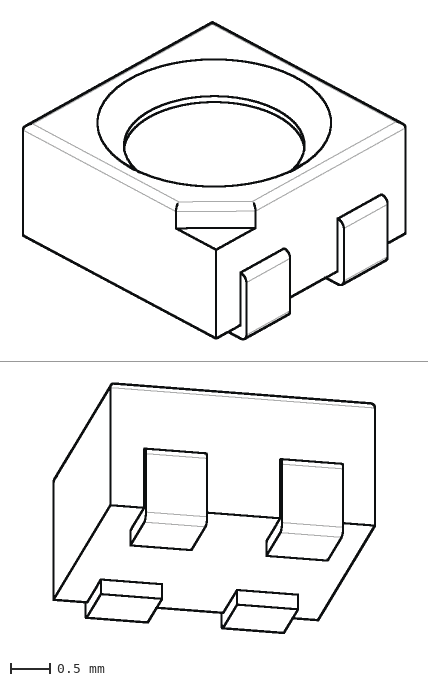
import cadquery as cq


overall_length = 3.68
overall_height = 1.9

body_side = 3.46
body_standoff = 0.2
body_edge_radius = 0.09

marker_leg = 0.72
marker_depth = 0.345

cup_top_diameter = 2.99
cup_floor_diameter = 2.31
cup_cone_depth = (cup_top_diameter - cup_floor_diameter) / 2
cup_wall_depth = 0.09

lead_width = 0.8
lead_height = 1.0
lead_foot_length = 0.95
lead_pitch = 1.78
lead_edge_radius = 0.1
lead_protrusion = (overall_length - body_side) / 2


def make_body():
    """Square block with the corner marker step and rounded top edges."""
    half_side = body_side / 2
    block = (
        cq.Workplane("XY")
        .workplane(offset=body_standoff)
        .rect(body_side, body_side)
        .extrude(overall_height - body_standoff)
    )
    marker_step = (
        cq.Workplane("XY")
        .workplane(offset=overall_height - marker_depth)
        .moveTo(half_side - marker_leg, -half_side)
        .lineTo(half_side, -half_side)
        .lineTo(half_side, -half_side + marker_leg)
        .close()
        .extrude(marker_depth)
    )
    return block.cut(marker_step).faces(">Z").edges().fillet(body_edge_radius)


def make_cup():
    """Solid of revolution that hollows out the reflector cup."""
    top_radius = cup_top_diameter / 2
    floor_radius = cup_floor_diameter / 2
    cone_bottom = overall_height - cup_cone_depth
    floor_height = cone_bottom - cup_wall_depth
    return (
        cq.Workplane("XZ")
        .moveTo(0, floor_height)
        .lineTo(floor_radius, floor_height)
        .lineTo(floor_radius, cone_bottom)
        .lineTo(top_radius, overall_height)
        .lineTo(0, overall_height)
        .close()
        .revolve(360, (0, 0, 0), (0, 1, 0))
    )


def make_lead(side, y_centre):
    """L-shaped lead on the given X side (+1 or -1), rounded on its outer edges."""
    outer_x = side * overall_length / 2
    upright_inner_x = outer_x - side * lead_protrusion
    foot_inner_x = outer_x - side * lead_foot_length
    lead = (
        cq.Workplane("XZ", origin=(0, y_centre, 0))
        .moveTo(foot_inner_x, 0)
        .lineTo(outer_x, 0)
        .lineTo(outer_x, lead_height)
        .lineTo(upright_inner_x, lead_height)
        .lineTo(upright_inner_x, body_standoff)
        .lineTo(foot_inner_x, body_standoff)
        .close()
        .extrude(lead_width / 2, both=True)
    )
    outer_face = ">X" if side > 0 else "<X"
    return lead.faces(outer_face).edges("|Y").fillet(lead_edge_radius)


result = make_body().cut(make_cup())
for side in (-1, 1):
    for y_centre in (-lead_pitch / 2, lead_pitch / 2):
        result = result.union(make_lead(side, y_centre))